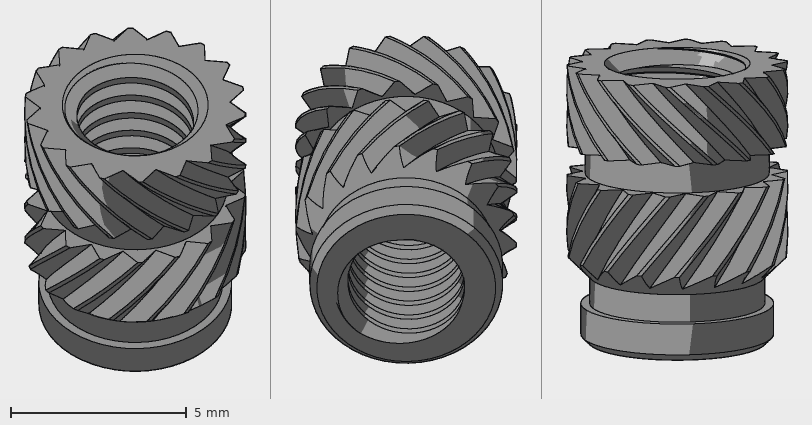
import cadquery as cq
import math


total_height = 8.1
base_height = 1.1
lower_neck_height = 0.8
lower_knurl_height = 3.0
upper_neck_height = 0.9
lower_knurl_bottom = base_height + lower_neck_height
lower_knurl_top = lower_knurl_bottom + lower_knurl_height
upper_knurl_bottom = lower_knurl_top + upper_neck_height
upper_knurl_height = total_height - upper_knurl_bottom

knurl_radius = 6.3 / 2
base_radius = 5.5 / 2
lower_neck_radius = 5.0 / 2
upper_neck_radius = 5.25 / 2
base_chamfer = 0.2

groove_count = 18
groove_pitch_angle = 360 / groove_count
groove_half_angle = 8.7
groove_root_radius = 2.705
knurl_twist = 45.0
knurl_top_angle = groove_pitch_angle / 2

bore_radius = 3.33 / 2
countersink_radius = 4.155 / 2
countersink_depth = countersink_radius - bore_radius
thread_root_radius = 4.11 / 2
thread_pitch = 0.7
thread_crest = 0.22
thread_flank_angle = 30.0
thread_bottom = -0.85
thread_turns = 13
thread_overlap = 0.08


def polar(radius, angle):
    """Point at the given radius and angle in degrees."""
    return (radius * math.cos(math.radians(angle)), radius * math.sin(math.radians(angle)))


def disc(bottom, radius, height):
    """Plain cylinder standing at the given height."""
    return cq.Workplane("XY", origin=(0, 0, bottom)).circle(radius).extrude(height)


def cone(bottom, bottom_radius, top_radius, height):
    """Upright truncated cone standing at the given height."""
    return cq.Workplane(cq.Solid.makeCone(bottom_radius, top_radius, height, pnt=cq.Vector(0, 0, bottom)))


def knurl_band(bottom, height, twist):
    """Twisted toothed bar with V grooves and a narrow round land on each tooth."""
    first_angle = knurl_top_angle - twist
    outline = cq.Workplane("XY", origin=(0, 0, bottom))
    outline = outline.moveTo(*polar(knurl_radius, first_angle - groove_half_angle))
    for i in range(groove_count):
        groove_angle = first_angle + i * groove_pitch_angle
        land_start = groove_angle + groove_half_angle
        land_middle = groove_angle + groove_pitch_angle / 2
        land_end = groove_angle + groove_pitch_angle - groove_half_angle
        outline = outline.lineTo(*polar(groove_root_radius, groove_angle))
        outline = outline.lineTo(*polar(knurl_radius, land_start))
        outline = outline.threePointArc(polar(knurl_radius, land_middle), polar(knurl_radius, land_end))
    return outline.close().twistExtrude(height, twist)


def lower_knurl():
    """Lower band, tapered at 45 degrees down to the lower neck."""
    band = knurl_band(lower_knurl_bottom, lower_knurl_height, knurl_twist)
    envelope_top_radius = lower_neck_radius + lower_knurl_height
    return band.intersect(
        cone(lower_knurl_bottom, lower_neck_radius, envelope_top_radius, lower_knurl_height)
    )


def upper_knurl():
    """Upper band, twisted the other way."""
    return knurl_band(upper_knurl_bottom, upper_knurl_height, -knurl_twist)


def thread_groove():
    """Right-hand helical groove with sloping flanks, trimmed to the height of the part."""
    flank_slope = math.tan(math.radians(thread_flank_angle))
    inner_radius = bore_radius - thread_overlap
    mouth_half = (thread_pitch - thread_crest) / 2
    inner_half = mouth_half + thread_overlap * flank_slope
    root_half = mouth_half - (thread_root_radius - bore_radius) * flank_slope
    helix = cq.Wire.makeHelix(thread_pitch, thread_turns * thread_pitch, bore_radius)
    groove = (
        cq.Workplane("XZ")
        .moveTo(inner_radius, -inner_half)
        .lineTo(thread_root_radius, -root_half)
        .lineTo(thread_root_radius, root_half)
        .lineTo(inner_radius, inner_half)
        .close()
        .sweep(cq.Workplane(helix), isFrenet=True)
        .translate((0, 0, thread_bottom))
    )
    return disc(0, knurl_radius, total_height).intersect(groove)


base = disc(0, base_radius, base_height).faces("<Z").chamfer(base_chamfer)
lower_neck = disc(base_height, lower_neck_radius, lower_neck_height)
upper_neck = disc(lower_knurl_top, upper_neck_radius, upper_neck_height)
body = base.union(lower_neck).union(lower_knurl()).union(upper_neck).union(upper_knurl())

bore = disc(0, bore_radius, total_height)
countersink = cone(total_height - countersink_depth, bore_radius, countersink_radius, countersink_depth)
result = body.cut(bore).cut(countersink).cut(thread_groove())